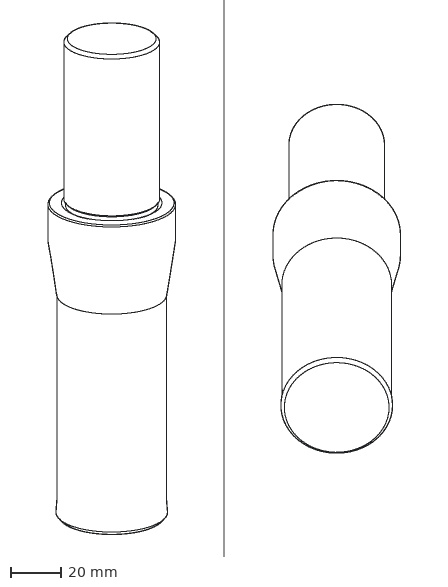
import cadquery as cq

total_height = 203.7
foot_cone_height = 1.2
foot_bevel_top = 2.9
flare_top = 8.1
taper_bottom = 95.7
collar_bottom = 118.2
collar_top = 134.0

foot_flat_radius = 15.3
foot_cone_radius = 20.8
flare_radius = 22.2
tube_radius = 21.8
taper_foot_radius = 22.0
collar_diameter = 50.7
collar_radius = collar_diameter / 2
collar_chamfer = 0.6
ledge_height = 0.6

shank_diameter = 38.0
shank_radius = shank_diameter / 2
neck_radius = 18.3
socket_mouth_radius = 20.0
socket_mouth_depth = 1.0
neck_height = 1.0
shank_top_chamfer = 1.5
socket_bottom = collar_bottom

shank_bottom = collar_top + neck_height
shank_bottom_chamfer = shank_radius - neck_radius


def revolved(outline):
    """Spin a closed (radius, height) outline around the Z axis."""
    return cq.Workplane("XZ").polyline(outline).close().revolve(360, (0, 0, 0), (0, 1, 0))


def make_sleeve():
    """Tube with a flared foot, a tapered collar and a blind socket for the pin."""
    return revolved([
        (0, 0),
        (foot_flat_radius, 0),
        (foot_cone_radius, foot_cone_height),
        (flare_radius, foot_bevel_top),
        (tube_radius, flare_top),
        (tube_radius, taper_bottom - ledge_height),
        (taper_foot_radius, taper_bottom),
        (collar_radius, collar_bottom),
        (collar_radius, collar_top - collar_chamfer),
        (collar_radius - collar_chamfer, collar_top),
        (socket_mouth_radius, collar_top),
        (neck_radius, collar_top - socket_mouth_depth),
        (neck_radius, socket_bottom),
        (0, socket_bottom),
    ])


def make_pin():
    """Chamfered shank on a slightly narrower neck that fills the socket."""
    return revolved([
        (0, socket_bottom),
        (neck_radius, socket_bottom),
        (neck_radius, shank_bottom),
        (shank_radius, shank_bottom + shank_bottom_chamfer),
        (shank_radius, total_height - shank_top_chamfer),
        (shank_radius - shank_top_chamfer, total_height),
        (0, total_height),
    ])


sleeve = make_sleeve()
pin = make_pin()
result = cq.Compound.makeCompound([sleeve.val(), pin.val()])